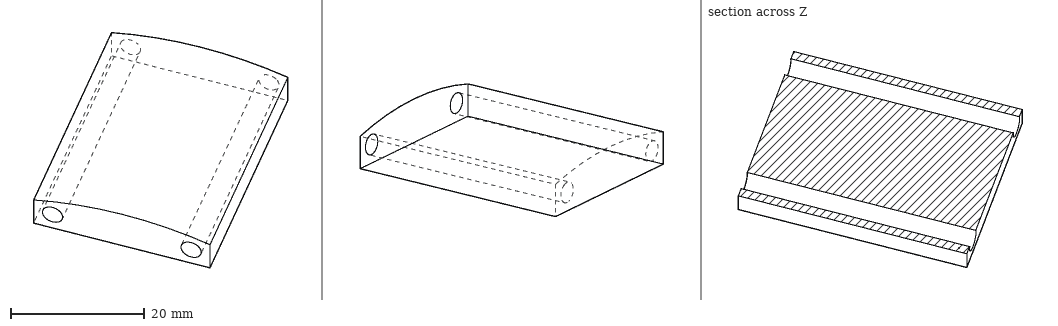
import cadquery as cq

width = 28.0
length = 36.0
height = 7.0
side_height = 5.2

hole_diameter = 3.2
hole_spacing = 22.0
hole_height = 3.0

half_width = width / 2


def crowned_block():
    """Flat-bottomed block with a shallow arc across its top."""
    return (
        cq.Workplane("XZ")
        .moveTo(-half_width, 0)
        .lineTo(half_width, 0)
        .lineTo(half_width, side_height)
        .threePointArc((0, height), (-half_width, side_height))
        .close()
        .extrude(length / 2, both=True)
    )


def lengthwise_holes():
    """Pair of cylinders along Y that cut right through the block."""
    return (
        cq.Workplane("XZ")
        .pushPoints([(side * hole_spacing / 2, hole_height) for side in (-1, 1)])
        .circle(hole_diameter / 2)
        .extrude(length / 2, both=True)
    )


result = crowned_block().cut(lengthwise_holes())